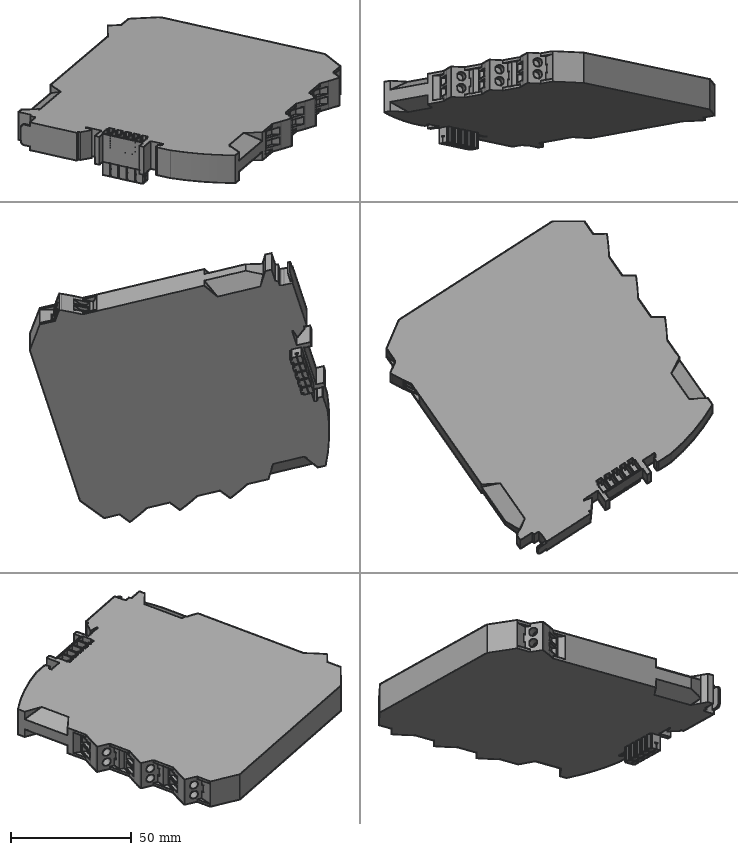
import cadquery as cq


width = 98.7
length = 113.7
thickness = 12.8
mid_x = width / 2
mid_z = thickness / 2
top_chamfer_x = 11.0
top_chamfer_y = 7.4
shoulder_y = length - top_chamfer_y

tooth_pitch = 21.6
right_tooth_count = 3
tooth_reach = 4.7
tooth_top_y = 99.7
tooth_tip_y = 96.6
tooth_slope = (tooth_top_y - tooth_tip_y) / tooth_reach
tooth_profile = [
    (0, tooth_top_y),
    (-tooth_reach, tooth_tip_y),
    (-4.3, 95.7),
    (-2.0, 91.4),
    (0, 87.9),
]
skin = 1.3
upper_recess_depth = 1.7
lower_recess_depth = 2.3
lower_recess_corner_y = 83.9
lower_recess_end_y = 81.8
key_notch_width = 3.4
key_notch_depth = 3.2
contact_offset_z = 2.3
wire_pocket_width = 3.3
wire_pocket_profile = [
    (-3.1, 91.1),
    (-1.8, 91.1),
    (1.0, 89.4),
    (2.4, 86.9),
    (1.5, 85.2),
    (-1.9, 85.2),
]
screw_offset_z = 2.5
screw_diameter = 3.6
screw_depth = 4.5
screw_x = -1.1

grip_inset = 6.7
grip_drop = 3.9
grip_top_y = 35.6
grip_top_inner_y = 31.7
left_grip_low_inner_y = 13.3
left_grip_low_y = 9.3
right_grip_low_inner_y = 18.4
right_grip_low_y = 14.4
grip_notch = (2.7, 10.9)
grip_notch_top_y = 17.7

left_bottom_y = 6.6
right_bottom_y = 7.0
ledge_left_x = 6.1
ledge_right_x = 8.3
ledge_y = 5.5
ledge_bevel_x = 0.3
foot_left_x = 8.6
foot_shoulder = (8.4, 5.0)
foot_shoulder_y = 3.8
foot_right_x = 30.6
foot_step_y = 1.3
latch_low_x = 31.6
latch_tip_x = 34.8
latch_tip_low_y = 5.1
latch_tip_high_y = 5.3
latch_root_x = 31.5
latch_root_y = 6.1
hook_x = 67.1
hook_tip_x = 65.7
hook_top_y = 5.5
hook_bottom_y = 3.0
hook_tip_bevel_x = 0.7
hook_tip_bevel_y = 0.3
hook_throat_bevel_x = 0.5
hook_throat_bevel_y = 0.7
hook_flat_end_x = 72.4
belly_mid = (85.5, 5.8)
belly_end_y = 11.0

tongue_left_x = 4.4
tongue_height = 0.9
tongue_margin_z = 1.7
tongue_corner_radius = 1.7

frame_left_x = 38.5
frame_right_x = 61.3
frame_bottom_y = 0.8
frame_top_y = 13.3
leg_width = 2.0
front_wall_y = 4.1
pole_count = 5
pole_pitch = 3.9
pole_width = 3.3
pole_waist_width = 1.5
pole_head_width = 2.5
socket_low_y = 4.7
socket_waist_y = 9.2
socket_head_y = 9.7
socket_high_y = 10.3
pin_length = 6.6
pin_clearance = 0.3
slit_width = 0.2
slit_height = 3.0
slit_y = 7.0
slit_bar_width = 1.3


def prism(points, z_low, z_high):
    return cq.Workplane("XY").workplane(offset=z_low).polyline(points).close().extrude(z_high - z_low)


def block(x_low, x_high, y_low, y_high, z_low, z_high):
    return (
        cq.Workplane("XY")
        .box(x_high - x_low, y_high - y_low, z_high - z_low, centered=False)
        .translate((x_low, y_low, z_low))
    )


def mirrored(shape):
    """Reflect a left-hand feature onto the right-hand side wall."""
    return shape.mirror("YZ", (mid_x, 0, 0))


def housing_plate():
    left_side = [(top_chamfer_x, length), (0, shoulder_y)] + tooth_profile
    left_side += [(0, grip_notch_top_y), grip_notch, (0, left_grip_low_y)]
    bottom_left = [
        (0, left_bottom_y),
        (ledge_left_x - ledge_bevel_x, left_bottom_y),
        (ledge_left_x, ledge_y),
        (ledge_right_x, ledge_y),
        foot_shoulder,
        (foot_left_x, foot_shoulder_y),
        (foot_left_x, 0),
        (foot_right_x, 0),
        (foot_right_x, foot_step_y),
        (latch_low_x, foot_step_y),
        (latch_tip_x, latch_tip_low_y),
        (latch_tip_x, latch_tip_high_y),
        (latch_root_x, latch_root_y),
        (latch_root_x, left_bottom_y),
        (mid_x, left_bottom_y),
    ]
    bottom_right = [
        (mid_x, right_bottom_y),
        (hook_x, right_bottom_y),
        (hook_x, hook_top_y + hook_throat_bevel_y),
        (hook_x - hook_throat_bevel_x, hook_top_y),
        (hook_tip_x, hook_top_y),
        (hook_tip_x, hook_bottom_y + hook_tip_bevel_y),
        (hook_tip_x + hook_tip_bevel_x, hook_bottom_y),
        (hook_flat_end_x, hook_bottom_y),
    ]
    right_side = []
    for index in reversed(range(right_tooth_count)):
        for x, y in reversed(tooth_profile):
            right_side.append((width - x, y - index * tooth_pitch))
    right_side += [(width, shoulder_y), (width - top_chamfer_x, length)]
    return (
        cq.Workplane("XY")
        .polyline(left_side + bottom_left + bottom_right)
        .threePointArc(belly_mid, (width, belly_end_y))
        .polyline(right_side, includeCurrent=True)
        .close()
        .extrude(thickness)
    )


def terminal_cut():
    """Recesses, screw holes and wire pockets of the uppermost left terminal block."""
    upper_corner_y = tooth_top_y + tooth_slope * upper_recess_depth
    notch_y = tooth_top_y + tooth_slope * key_notch_depth
    upper_recess = [(0, shoulder_y), (upper_recess_depth, upper_corner_y), (0, tooth_top_y)]
    lower_recess = [
        tooth_profile[-1],
        (lower_recess_depth, lower_recess_corner_y),
        (0, lower_recess_end_y),
    ]
    key_notch = [(0, tooth_top_y), (key_notch_depth, notch_y), (0, notch_y)]
    cut = prism(upper_recess, skin, thickness - skin)
    cut = cut.union(prism(lower_recess, skin, thickness - skin))
    cut = cut.union(prism(key_notch, mid_z - key_notch_width / 2, mid_z + key_notch_width / 2))
    for side in (-1, 1):
        pocket_z = mid_z + side * contact_offset_z
        half = wire_pocket_width / 2
        cut = cut.union(prism(wire_pocket_profile, pocket_z - half, pocket_z + half))
        screw_y = tooth_top_y + tooth_slope * screw_x
        screw = cq.Solid.makeCylinder(
            screw_diameter / 2,
            screw_depth,
            cq.Vector(screw_x, screw_y, mid_z + side * screw_offset_z),
            cq.Vector(tooth_slope, -1, 0),
        )
        cut = cut.union(cq.Workplane(screw))
    return cut


def grip_cut(low_inner_y, low_y):
    """Bevels on the upper and lower faces of the left side wall, with upright end walls."""
    area = [(0, grip_top_y), (grip_inset, grip_top_inner_y), (grip_inset, low_inner_y), (0, low_y)]
    wedge = (
        cq.Workplane("XZ")
        .polyline([(0, thickness - grip_drop), (grip_inset, thickness), (0, thickness)])
        .close()
        .extrude(-grip_top_y)
    )
    upper = prism(area, 0, thickness).intersect(wedge)
    return upper.union(upper.mirror("XY", (0, 0, mid_z)))


def release_tongue():
    tongue = block(
        tongue_left_x, foot_right_x, 0, tongue_height,
        tongue_margin_z, thickness - tongue_margin_z,
    )
    return tongue.edges("|Y and <X").fillet(tongue_corner_radius)


def pole_profile(center_x, low_y, high_y):
    """Rectangle with a narrow waist and a wider head, as half widths mirrored about its centre."""
    half_outline = [
        (pole_width / 2, low_y),
        (pole_width / 2, socket_waist_y),
        (pole_waist_width / 2, socket_waist_y),
        (pole_waist_width / 2, socket_head_y),
        (pole_head_width / 2, socket_head_y),
        (pole_head_width / 2, high_y),
    ]
    right = [(center_x + x, y) for x, y in half_outline]
    left = [(center_x - x, y) for x, y in reversed(half_outline)]
    return right + left


def pin_slit(center_x):
    """Narrow T-shaped contact slit passing sideways through one pin."""
    half = pole_width / 2
    top_z = slit_height - pin_length
    stem = block(
        center_x - half, center_x + half,
        slit_y - slit_width / 2, slit_y + slit_width / 2, -pin_length, top_z,
    )
    bar = block(
        center_x - half, center_x + half,
        slit_y - slit_bar_width / 2, slit_y + slit_bar_width / 2, top_z - slit_width, top_z,
    )
    return stem.union(bar)


def add_bus_connector(body):
    body = body.union(
        block(frame_left_x, frame_right_x, frame_bottom_y, frame_top_y, 0, thickness)
    )
    body = body.cut(
        block(frame_left_x + leg_width, frame_right_x - leg_width, 0, front_wall_y, 0, thickness)
    )
    for index in range(pole_count):
        center_x = mid_x + (index - (pole_count - 1) / 2) * pole_pitch
        socket = pole_profile(center_x, socket_low_y, socket_high_y)
        body = body.cut(prism(socket, thickness - pin_length, thickness))
        pin = pole_profile(center_x, socket_low_y + pin_clearance, socket_high_y - pin_clearance)
        body = body.union(prism(pin, -pin_length, 0).cut(pin_slit(center_x)))
    return body


result = housing_plate().union(release_tongue())
left_terminal = terminal_cut()
result = result.cut(left_terminal)
for tooth in range(right_tooth_count):
    result = result.cut(mirrored(left_terminal).translate((0, -tooth * tooth_pitch, 0)))
result = result.cut(grip_cut(left_grip_low_inner_y, left_grip_low_y))
result = result.cut(mirrored(grip_cut(right_grip_low_inner_y, right_grip_low_y)))
result = add_bus_connector(result)